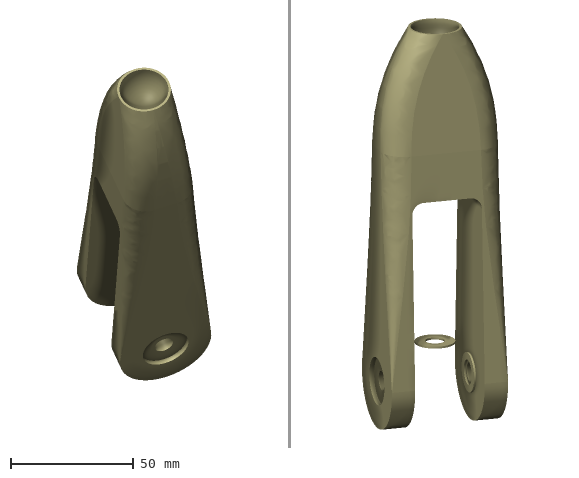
import cadquery as cq
import math

total_height = 170.0
fork_width = 50.0
shoulder_height = 120.0
shoulder_depth = 30.0
half_width = fork_width / 2
half_shoulder_depth = shoulder_depth / 2

eye_diameter = 40.0
eye_radius = eye_diameter / 2
arm_thickness = 10.0
slot_width = fork_width - 2 * arm_thickness
slot_top = 100.0
slot_corner_radius = 5.0
shoulder_corner_radius = 10.0
tip_corner_radius = 0.08
corner_start_slope = 1.2
arm_section_count = 7

neck_top_diameter = 22.0
neck_top_radius = neck_top_diameter / 2
neck_top_flat = 0.2
neck_bulge = 2.3
neck_section_count = 7
cup_radius = 10.0

pivot_hole_diameter = 8.0
recess_diameter = 20.0
recess_depth = 2.0
boss_diameter = 16.7
boss_height = 0.8
boss_bore_diameter = 10.5

washer_diameter = 16.7
washer_hole_diameter = 8.0
washer_thickness = 0.8
washer_bottom = 34.2


def rounded_section(height, half_x, half_y, radius):
    """Horizontal rounded rectangle centred on the Z axis."""
    flat_x = half_x - radius
    flat_y = half_y - radius
    diagonal = radius * math.sqrt(0.5)
    return (
        cq.Workplane("XY", origin=(0, 0, height))
        .moveTo(-flat_x, -half_y)
        .lineTo(flat_x, -half_y)
        .threePointArc((flat_x + diagonal, -flat_y - diagonal), (half_x, -flat_y))
        .lineTo(half_x, flat_y)
        .threePointArc((flat_x + diagonal, flat_y + diagonal), (flat_x, half_y))
        .lineTo(-flat_x, half_y)
        .threePointArc((-flat_x - diagonal, flat_y + diagonal), (-half_x, flat_y))
        .lineTo(-half_x, -flat_y)
        .threePointArc((-flat_x - diagonal, -flat_y - diagonal), (-flat_x, -half_y))
        .close()
        .val()
    )


def blend(start, end, fraction):
    return start + (end - start) * fraction


def x_cylinder(diameter, start_x, length):
    """Cylinder along +X on the pivot axis."""
    return (
        cq.Workplane("YZ", origin=(start_x, 0, eye_radius))
        .circle(diameter / 2)
        .extrude(length)
    )


def make_arm_block():
    """Tapered block whose corner radius grows from the eye to the shoulder."""
    rise = shoulder_height - eye_radius
    tangent_angle = math.atan2(rise, half_shoulder_depth) - math.acos(
        eye_radius / math.hypot(rise, half_shoulder_depth)
    )
    tangent_half_depth = eye_radius * math.cos(tangent_angle)
    tangent_height = eye_radius + eye_radius * math.sin(tangent_angle)

    sections = []
    for index in range(arm_section_count):
        t = index / (arm_section_count - 1)
        growth = corner_start_slope * t * (1 - t) ** 2 + 3 * t**2 - 2 * t**3
        sections.append(
            rounded_section(
                blend(tangent_height, shoulder_height, t),
                half_width,
                blend(tangent_half_depth, half_shoulder_depth, t),
                blend(tip_corner_radius, shoulder_corner_radius, growth),
            )
        )
    flanks = cq.Workplane(cq.Solid.makeLoft(sections))

    joint = (
        cq.Workplane("XY", origin=(0, 0, eye_radius))
        .rect(fork_width, 2 * tangent_half_depth)
        .extrude(tangent_height - eye_radius)
    )
    eye = x_cylinder(eye_diameter, -half_width, fork_width)
    return flanks.union(joint).union(eye)


def make_neck():
    """Neck that narrows from the shoulder to an almost round top."""
    sections = []
    for index in range(neck_section_count):
        t = index / (neck_section_count - 1)
        sections.append(
            rounded_section(
                blend(shoulder_height, total_height, t),
                blend(half_width, neck_top_radius, t**neck_bulge),
                blend(half_shoulder_depth, neck_top_radius, t),
                blend(shoulder_corner_radius, neck_top_radius - neck_top_flat, t),
            )
        )
    return cq.Workplane(cq.Solid.makeLoft(sections))


def make_slot():
    """Opening between the arms, rounded at its upper corners."""
    return (
        cq.Workplane("XY")
        .rect(slot_width, eye_diameter)
        .extrude(slot_top)
        .faces(">Z")
        .edges("|Y")
        .fillet(slot_corner_radius)
    )


def make_fork():
    fork = make_arm_block().union(make_neck()).cut(make_slot())
    cup = cq.Workplane("XY", origin=(0, 0, total_height)).sphere(cup_radius)
    boss_start = slot_width / 2 - boss_height
    boss = x_cylinder(boss_diameter, boss_start, boss_height)
    boss = boss.cut(x_cylinder(boss_bore_diameter, boss_start, boss_height))
    fork = fork.cut(cup).union(boss)
    for recess_start in (-half_width, half_width - recess_depth):
        fork = fork.cut(x_cylinder(recess_diameter, recess_start, recess_depth))
    return fork.cut(x_cylinder(pivot_hole_diameter, -half_width, fork_width))


def make_washer():
    """Loose flat washer lying horizontally between the arms."""
    return (
        cq.Workplane("XY", origin=(0, 0, washer_bottom))
        .circle(washer_diameter / 2)
        .circle(washer_hole_diameter / 2)
        .extrude(washer_thickness)
    )


fork = make_fork()
washer = make_washer()

result = cq.Compound.makeCompound([*fork.solids().vals(), washer.val()])